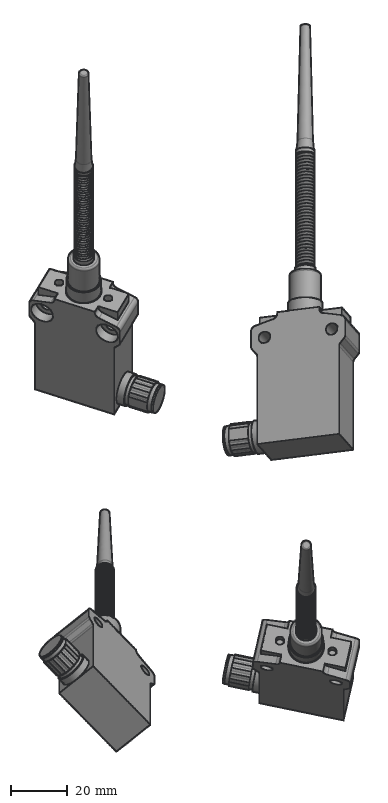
import cadquery as cq
import math

DEPTH = 16.0
BODY_HALF_WIDTH = 15.25
BODY_TOP = 49.2
LUG_HALF_WIDTH = 17.5
LUG_CORNER_TOP = 44.65
LUG_CORNER_BOTTOM = 36.6
LUG_ROOT = 34.0
LUG_ROOT_FILLET = 1.6
LUG_TOP_FILLET = 2.0
SHOULDER_FILLET = 2.0
SHOULDER_HALF_WIDTH = 7.8
SHOULDER_SLOPE = math.radians(14)
RIDGE_DEPTH = 9.9

MOUNT_X = 12.5
MOUNT_Z = 40.2
MOUNT_HOLE_DIAMETER = 4.3
MOUNT_BORE_DIAMETER = 8.4
MOUNT_BORE_DEPTH = 4.0
SCREW_HOLE_X = 9.45
SCREW_HOLE_DIAMETER = 3.0
SCREW_HOLE_DEPTH = 3.0

PLUG_Z = 6.0
FLANGE_RADIUS = 6.0
FLANGE_END = 18.1
NECK_RADIUS = 5.4
NECK_END = 19.5
NUT_RADIUS = 5.8
NUT_FLAT = 5.25
NUT_END = 26.7
KNURL_COUNT = 18
KNURL_DEPTH = 0.2
RIM_RADIUS = 5.3
LIP_START = 28.3
LIP_RADIUS = 5.2
LIP_END = 29.0

SHANK_RADIUS = 6.4
SHANK_BOTTOM = BODY_TOP - 3.0
BASE_RADIUS = 6.15
BASE_TOP = 54.5
SLEEVE_RADIUS = 5.6
SLEEVE_TOP = 65.8
SLEEVE_FILLET = 0.8
COLLAR_RADIUS = 3.7
COLLAR_TOP = 67.8

SPRING_TOP = 111.0
SPRING_OUTER_RADIUS = 3.4
WIRE_DIAMETER = 1.1
SPRING_PITCH = 1.2

TIP_TOP = 160.2
TIP_COLLAR_RADIUS = 3.4
TIP_COLLAR_TOP = 112.5
TIP_CONE_RADIUS = 3.2
TIP_CONE_TOP = 116.3
TIP_LOWER_RADIUS = 2.8
TIP_END_RADIUS = 1.75
TIP_END_FILLET = 0.5


def disc(plane, start, radius, length):
    """Cylinder that grows from the start point along the normal of the plane."""
    return cq.Workplane(plane, origin=start).circle(radius).extrude(length)


def make_housing():
    slope_rise = (LUG_HALF_WIDTH - SHOULDER_HALF_WIDTH) * math.tan(SHOULDER_SLOPE)
    rounded_corners = [
        (BODY_HALF_WIDTH, LUG_ROOT, LUG_ROOT_FILLET),
        (LUG_HALF_WIDTH, LUG_CORNER_BOTTOM, LUG_ROOT_FILLET),
        (LUG_HALF_WIDTH, LUG_CORNER_TOP, LUG_TOP_FILLET),
        (SHOULDER_HALF_WIDTH, LUG_CORNER_TOP + slope_rise, SHOULDER_FILLET),
    ]
    right = [(BODY_HALF_WIDTH, 0)]
    right += [(x, z) for x, z, _ in rounded_corners]
    right += [(SHOULDER_HALF_WIDTH, BODY_TOP)]
    left = [(-x, z) for x, z in reversed(right)]
    housing = cq.Workplane("XZ").polyline(right + left).close().extrude(DEPTH / 2, both=True)
    for x, z, radius in rounded_corners:
        for side in (-1, 1):
            corner_edge = cq.selectors.NearestToPointSelector((side * x, 0, z))
            housing = housing.edges("|Y").edges(corner_edge).fillet(radius)

    ridge = (
        cq.Workplane("XY", origin=(0, 0, LUG_ROOT))
        .rect(2 * BODY_HALF_WIDTH, RIDGE_DEPTH)
        .extrude(BODY_TOP - LUG_ROOT)
    )
    housing = housing.union(ridge)

    flange = disc("YZ", (0, 0, PLUG_Z), FLANGE_RADIUS, FLANGE_END)
    housing = housing.union(flange)

    housing = (
        housing.copyWorkplane(cq.Workplane("XZ", origin=(0, -DEPTH / 2, 0)))
        .pushPoints([(-MOUNT_X, MOUNT_Z), (MOUNT_X, MOUNT_Z)])
        .cboreHole(MOUNT_HOLE_DIAMETER, MOUNT_BORE_DIAMETER, MOUNT_BORE_DEPTH)
    )
    housing = housing.cut(disc("XY", (0, 0, SHANK_BOTTOM), SHANK_RADIUS, BODY_TOP - SHANK_BOTTOM))
    return (
        housing.copyWorkplane(cq.Workplane("XY", origin=(0, 0, BODY_TOP)))
        .pushPoints([(-SCREW_HOLE_X, 0), (SCREW_HOLE_X, 0)])
        .hole(SCREW_HOLE_DIAMETER, SCREW_HOLE_DEPTH)
    )


def make_connector():
    neck = disc("YZ", (FLANGE_END, 0, PLUG_Z), NECK_RADIUS, NECK_END - FLANGE_END)

    teeth = []
    for step in range(2 * KNURL_COUNT):
        radius = NUT_RADIUS if step % 2 == 0 else NUT_RADIUS - KNURL_DEPTH
        angle = math.pi * step / KNURL_COUNT
        teeth.append((radius * math.cos(angle), radius * math.sin(angle)))
    nut_length = NUT_END - NECK_END
    nut_start = (NECK_END, 0, PLUG_Z)
    nut = cq.Workplane("YZ", origin=nut_start).polyline(teeth).close().extrude(nut_length)
    between_flats = (
        cq.Workplane("YZ", origin=nut_start)
        .rect(2 * NUT_FLAT, 2 * NUT_RADIUS)
        .extrude(nut_length)
    )
    nut = nut.intersect(between_flats)

    rim = disc("YZ", (NUT_END, 0, PLUG_Z), RIM_RADIUS, LIP_START - NUT_END)
    lip = disc("YZ", (LIP_START, 0, PLUG_Z), LIP_RADIUS, LIP_END - LIP_START)
    return neck.union(nut).union(rim).union(lip)


def make_stem():
    shank = disc("XY", (0, 0, SHANK_BOTTOM), SHANK_RADIUS, BODY_TOP - SHANK_BOTTOM)
    base = disc("XY", (0, 0, BODY_TOP), BASE_RADIUS, BASE_TOP - BODY_TOP)
    sleeve = disc("XY", (0, 0, BASE_TOP), SLEEVE_RADIUS, SLEEVE_TOP - BASE_TOP)
    sleeve = sleeve.faces(">Z").edges().fillet(SLEEVE_FILLET)
    collar = disc("XY", (0, 0, SLEEVE_TOP), COLLAR_RADIUS, COLLAR_TOP - SLEEVE_TOP)
    return shank.union(base).union(sleeve).union(collar)


def make_spring():
    wire_radius = WIRE_DIAMETER / 2
    coil_radius = SPRING_OUTER_RADIUS - wire_radius
    length = SPRING_TOP - COLLAR_TOP
    path = cq.Wire.makeHelix(SPRING_PITCH, length, coil_radius, cq.Vector(0, 0, COLLAR_TOP))
    wire = (
        cq.Workplane("XZ", origin=(coil_radius, 0, COLLAR_TOP))
        .moveTo(wire_radius, 0)
        .threePointArc((0, wire_radius), (-wire_radius, 0))
        .threePointArc((0, -wire_radius), (wire_radius, 0))
        .close()
    )
    coil = wire.sweep(cq.Workplane(path), isFrenet=True)
    return coil.intersect(disc("XY", (0, 0, COLLAR_TOP), SPRING_OUTER_RADIUS + wire_radius, length))


def make_tip():
    outline = [
        (0, SPRING_TOP),
        (TIP_COLLAR_RADIUS, SPRING_TOP),
        (TIP_COLLAR_RADIUS, TIP_COLLAR_TOP),
        (TIP_CONE_RADIUS, TIP_COLLAR_TOP),
        (TIP_LOWER_RADIUS, TIP_CONE_TOP),
        (TIP_END_RADIUS, TIP_TOP),
        (0, TIP_TOP),
    ]
    tip = cq.Workplane("XZ").polyline(outline).close().revolve(360, (0, 0), (0, 1))
    return tip.faces(">Z").edges().fillet(TIP_END_FILLET)


housing = make_housing()
connector = make_connector()
stem = make_stem()
spring = make_spring()
tip = make_tip()

result = cq.Compound.makeCompound(
    [housing.val(), connector.val(), stem.val(), spring.val(), tip.val()]
)